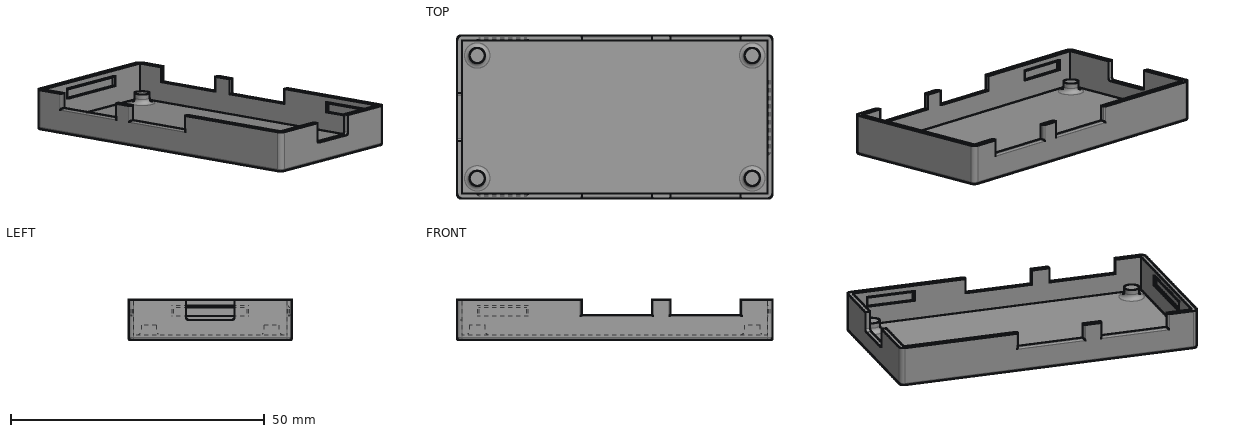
import cadquery as cq

board_length = 60.0
board_width = 30.0
board_clearance = 0.1
wall = 1.0
floor = 1.0
height = 8.0
inner_length = board_length + 2 * board_clearance
inner_width = board_width + 2 * board_clearance
outer_length = inner_length + 2 * wall
outer_width = inner_width + 2 * wall
corner_radius = wall
base_fillet = 0.5

peg_inset = 3.0
peg_radius = 1.5
peg_height = 2.0
peg_root_fillet = 1.0

side_opening_width = 13.8
side_opening_pitch = 17.5
side_opening_first_x = 0.4
side_opening_bottom = 5.0
side_opening_rounding = 0.3
side_opening_count = 2
side_opening_centers = [
    side_opening_first_x + index * side_opening_pitch for index in range(side_opening_count)
]
selection_margin = 0.1

end_opening_width = 9.5
end_opening_bottom = 4.0
end_opening_fillet = 0.5

groove_bottom = 4.8
groove_top = 6.8
groove_depth = 0.5
groove_taper = 0.3
end_groove_length = 15.0
side_groove_length = 10.0
side_groove_x = -22.1


def make_tray():
    """Open box with rounded outer corners, a rounded base edge and sharp inner corners."""
    body = cq.Workplane("XY").box(outer_length, outer_width, height, centered=(True, True, False))
    body = body.edges("|Z").fillet(corner_radius)
    body = body.faces("<Z").edges().fillet(base_fillet)
    cavity = (
        cq.Workplane("XY", origin=(0, 0, floor))
        .box(inner_length, inner_width, height, centered=(True, True, False))
    )
    return body.cut(cavity)


def make_peg(x, y):
    """Round peg whose root flares into the floor with a concave fillet."""
    root_radius = peg_radius + peg_root_fillet
    buried_base = floor / 2
    return (
        cq.Workplane("XZ")
        .moveTo(0, buried_base)
        .lineTo(root_radius, buried_base)
        .lineTo(root_radius, floor)
        .radiusArc((peg_radius, floor + peg_root_fillet), peg_root_fillet)
        .lineTo(peg_radius, floor + peg_height)
        .lineTo(0, floor + peg_height)
        .close()
        .revolve(360, (0, 0, 0), (0, 1, 0))
        .translate((x, y, 0))
    )


def make_side_opening(x):
    """Cutter through both long walls, as wide as the opening between its rounded outer edges."""
    return (
        cq.Workplane("XY", origin=(x, 0, side_opening_bottom))
        .box(side_opening_width, 2 * outer_width, height, centered=(True, True, False))
    )


def round_side_openings(body):
    """Round the side and bottom edges of the openings where they meet the outer wall faces."""
    for x in side_opening_centers:
        for wall_side in (-1, 1):
            edge_zone = cq.selectors.BoxSelector(
                (
                    x - side_opening_width / 2 - selection_margin,
                    wall_side * outer_width / 2 - selection_margin,
                    side_opening_bottom - selection_margin,
                ),
                (
                    x + side_opening_width / 2 + selection_margin,
                    wall_side * outer_width / 2 + selection_margin,
                    height - selection_margin,
                ),
            )
            body = body.edges(edge_zone).fillet(side_opening_rounding)
    return body


def make_end_opening():
    """Cutter through the -X wall with rounded bottom corners."""
    return (
        cq.Workplane("XY", origin=(-outer_length / 2, 0, end_opening_bottom))
        .box(2 * wall, end_opening_width, height, centered=(True, True, False))
        .edges("|X and <Z")
        .fillet(end_opening_fillet)
    )


def make_groove(length):
    """Cutter along Y reaching groove_depth toward +X, tapering inward at its roof and both ends."""
    return (
        cq.Workplane("XY", origin=(0, 0, groove_bottom))
        .box(2 * groove_depth, length, groove_top - groove_bottom, centered=(True, True, False))
        .faces(">X")
        .edges("|Z or >Z")
        .chamfer(groove_taper)
    )


result = make_tray()

for x_sign in (-1, 1):
    for y_sign in (-1, 1):
        peg_x = x_sign * (inner_length / 2 - peg_inset)
        peg_y = y_sign * (inner_width / 2 - peg_inset)
        result = result.union(make_peg(peg_x, peg_y))

for opening_x in side_opening_centers:
    result = result.cut(make_side_opening(opening_x))
result = round_side_openings(result)

result = result.cut(make_end_opening())

result = result.cut(make_groove(end_groove_length).translate((inner_length / 2, 0, 0)))

side_groove = (
    make_groove(side_groove_length)
    .rotate((0, 0, 0), (0, 0, 1), 90)
    .translate((side_groove_x, inner_width / 2, 0))
)
result = result.cut(side_groove).cut(side_groove.mirror("XZ")).solids()